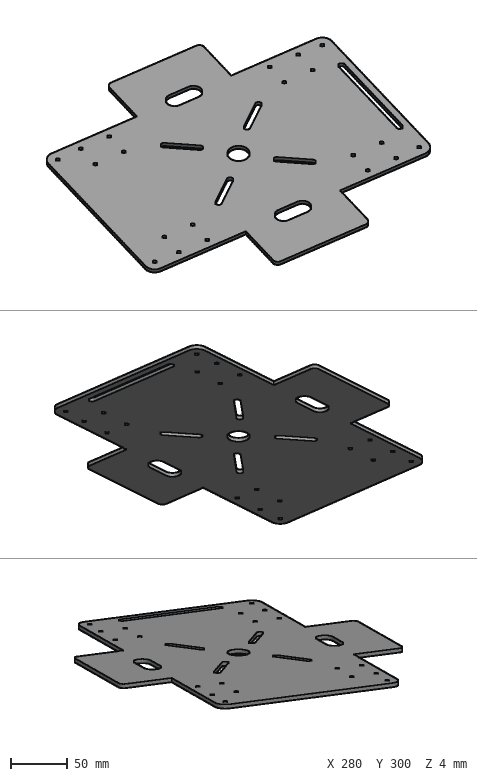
import cadquery as cq
import math

thickness = 4.0
body_width = 180.0
body_length = 300.0
body_corner_radius = 10.0
wing_span = 280.0
wing_depth = 100.0
wing_corner_radius = 5.0

center_hole_diameter = 20.0
screw_hole_diameter = 3.5
corner_hole_inset = 10.0
bracket_center_x = 69.0
bracket_center_y = 100.0
bracket_pitch_x = 24.0
bracket_pitch_y = 30.0

grip_width = 16.0
grip_length = 36.0
grip_x = body_width / 2

strap_slot_width = 6.0
strap_slot_length = 102.0
strap_slot_x = -0.2
strap_slot_y = body_length / 2 - corner_hole_inset

diagonal_slot_width = 6.0
diagonal_inner_end = (25.0, 25.0)
diagonal_outer_end = (45.0, 50.0)
upper_right_slot_shift_y = -0.35

MIRROR_SIGNS = [(sx, sy) for sx in (-1, 1) for sy in (-1, 1)]


def rounded_plate(size_x, size_y, corner_radius):
    """Flat rectangular plate with rounded vertical corners."""
    plate = cq.Workplane("XY").box(size_x, size_y, thickness, centered=(True, True, False))
    return plate.edges("|Z").fillet(corner_radius)


def slot_cutter(center, overall_length, width, angle):
    """Round-ended slot through the plate, turned by angle degrees from X."""
    return cq.Workplane("XY").center(*center).slot2D(overall_length, width, angle).extrude(thickness)


def hole_cutter(centers, diameter):
    """Round through holes at the given centres."""
    return cq.Workplane("XY").pushPoints(centers).circle(diameter / 2).extrude(thickness)


def screw_hole_centers():
    """One hole per body corner and a rectangle of four holes per bracket."""
    centers = []
    for sx, sy in MIRROR_SIGNS:
        corner_x = body_width / 2 - corner_hole_inset
        corner_y = body_length / 2 - corner_hole_inset
        centers.append((sx * corner_x, sy * corner_y))
        for dx, dy in MIRROR_SIGNS:
            x = sx * bracket_center_x + dx * bracket_pitch_x / 2
            y = sy * bracket_center_y + dy * bracket_pitch_y / 2
            centers.append((x, y))
    return centers


def cut_diagonal_slots(plate):
    """Four slots radiating around the centre hole, one per quadrant."""
    inner_x, inner_y = diagonal_inner_end
    outer_x, outer_y = diagonal_outer_end
    run = outer_x - inner_x
    rise = outer_y - inner_y
    overall_length = math.hypot(run, rise) + diagonal_slot_width
    for sx, sy in MIRROR_SIGNS:
        center_x = sx * (inner_x + outer_x) / 2
        center_y = sy * (inner_y + outer_y) / 2
        if sx > 0 and sy > 0:
            center_y += upper_right_slot_shift_y
        angle = math.degrees(math.atan2(sy * rise, sx * run))
        cutter = slot_cutter((center_x, center_y), overall_length, diagonal_slot_width, angle)
        plate = plate.cut(cutter)
    return plate


def cut_hand_grips(plate):
    """One grip opening on each side, its length along Y."""
    for sx in (-1, 1):
        plate = plate.cut(slot_cutter((sx * grip_x, 0), grip_length, grip_width, 90))
    return plate


body = rounded_plate(body_width, body_length, body_corner_radius)
wings = rounded_plate(wing_span, wing_depth, wing_corner_radius)
plate = body.union(wings)
plate = plate.cut(hole_cutter([(0, 0)], center_hole_diameter))
plate = plate.cut(hole_cutter(screw_hole_centers(), screw_hole_diameter))
plate = plate.cut(slot_cutter((strap_slot_x, strap_slot_y), strap_slot_length, strap_slot_width, 0))
plate = cut_hand_grips(plate)
result = cut_diagonal_slots(plate)